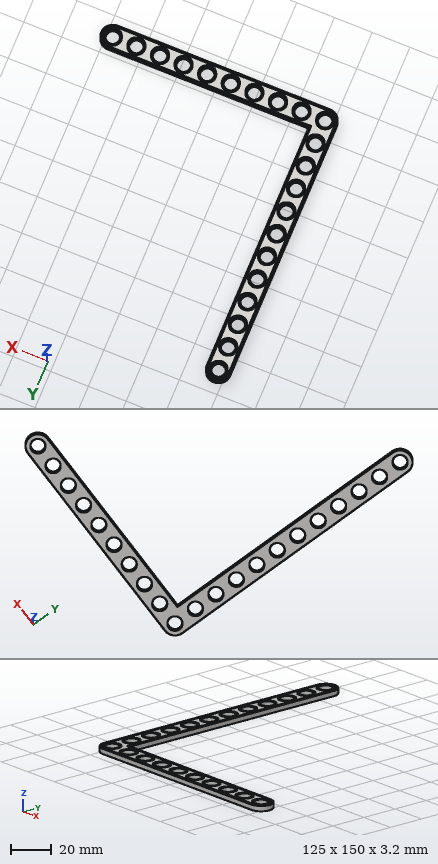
import cadquery as cq
import math

LENGTH_Y = 150
HOLES_X = 10
HOLES_Y = 12
THICKNESS = 3.2
HOLE_DIAMETER = 7.0
RIM_WIDTH = 1.0
RECESS_DEPTH = 0.25
EDGE_CHAMFER = 0.3

ring_diameter = HOLE_DIAMETER + 2 * RIM_WIDTH

pitch = LENGTH_Y / HOLES_Y
arm_radius = pitch / 2
span_x = pitch * (HOLES_X - 1)
span_y = pitch * (HOLES_Y - 1)
hole_centers = [(i * pitch, 0) for i in range(HOLES_X)]
hole_centers += [(0, i * pitch) for i in range(1, HOLES_Y)]


def angle_plate(radius, height):
    """L-shaped plate reaching `radius` around the hole center lines, inner corner sharp."""
    corner = radius * math.sqrt(0.5)
    return (
        cq.Workplane("XY")
        .moveTo(0, -radius)
        .lineTo(span_x, -radius)
        .threePointArc((span_x + radius, 0), (span_x, radius))
        .lineTo(radius, radius)
        .lineTo(radius, span_y)
        .threePointArc((0, span_y + radius), (-radius, span_y))
        .lineTo(-radius, 0)
        .threePointArc((-corner, -corner), (0, -radius))
        .close()
        .extrude(height)
    )


def cylinders(diameter):
    """Full-height cylinders at every hole center."""
    return cq.Workplane("XY").pushPoints(hole_centers).circle(diameter / 2).extrude(THICKNESS)


plate = angle_plate(arm_radius, THICKNESS).cut(cylinders(HOLE_DIAMETER))
plate = plate.faces("<Z or >Z").edges().chamfer(EDGE_CHAMFER)

recess = angle_plate(arm_radius - RIM_WIDTH, RECESS_DEPTH)
recess = recess.translate((0, 0, THICKNESS - RECESS_DEPTH)).cut(cylinders(ring_diameter))

result = plate.cut(recess)